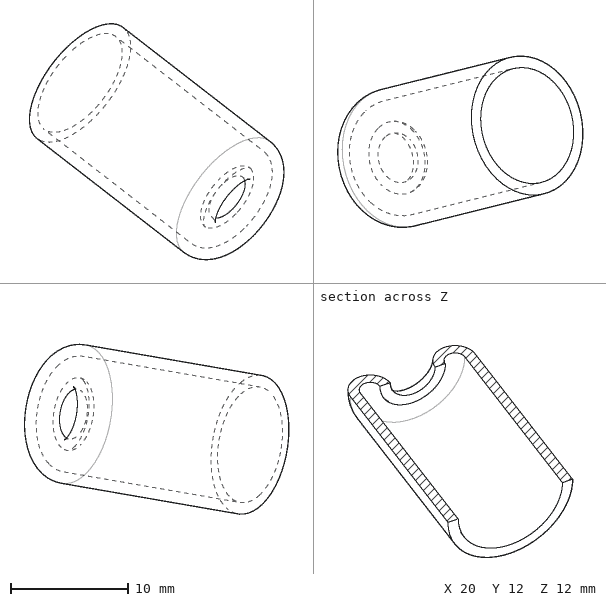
import cadquery as cq

length = 20.0
outer_diameter = 12.0
wall = 1.0
lip_bore_diameter = 4.3

outer_radius = outer_diameter / 2
sleeve_bore_radius = outer_radius - wall
lip_bore_radius = lip_bore_diameter / 2
lip_outer_radius = lip_bore_radius + wall

bend_outer_radius = (outer_radius - lip_bore_radius) / 2
bend_inner_radius = bend_outer_radius - wall
bend_center_radius = outer_radius - bend_outer_radius
bend_start = length - bend_outer_radius


def wall_profile():
    """Half section of the wall: X is axial, Y is the distance from the axis."""
    return (
        cq.Workplane("XY")
        .moveTo(0, sleeve_bore_radius)
        .lineTo(0, outer_radius)
        .lineTo(bend_start, outer_radius)
        .threePointArc((length, bend_center_radius), (bend_start, lip_bore_radius))
        .lineTo(bend_start, lip_outer_radius)
        .threePointArc(
            (bend_start + bend_inner_radius, bend_center_radius),
            (bend_start, sleeve_bore_radius),
        )
        .close()
    )


result = wall_profile().revolve(360, (0, 0, 0), (1, 0, 0))